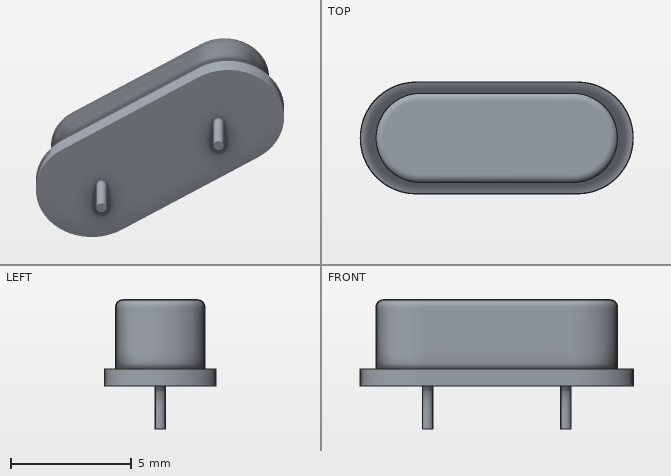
import cadquery as cq

flange_length = 11.35
flange_width = 4.65
flange_thickness = 0.72
can_length = 10.03
can_width = 3.71
can_height = 2.87
can_edge_radius = 0.31
pin_diameter = 0.43
pin_spacing = 5.74
total_height = 5.38

pin_length = total_height - flange_thickness - can_height


def rounded_bar(length, width, height, base_z):
    """Solid with full-round ends, centred on the Z axis."""
    return cq.Workplane("XY").workplane(offset=base_z).slot2D(length, width).extrude(height)


flange = rounded_bar(flange_length, flange_width, flange_thickness, 0)

can = rounded_bar(can_length, can_width, can_height, flange_thickness)
can = can.faces(">Z").edges().fillet(can_edge_radius)

pins = (
    cq.Workplane("XY")
    .pushPoints([(-pin_spacing / 2, 0), (pin_spacing / 2, 0)])
    .circle(pin_diameter / 2)
    .extrude(-pin_length)
)

result = flange.union(can).union(pins)